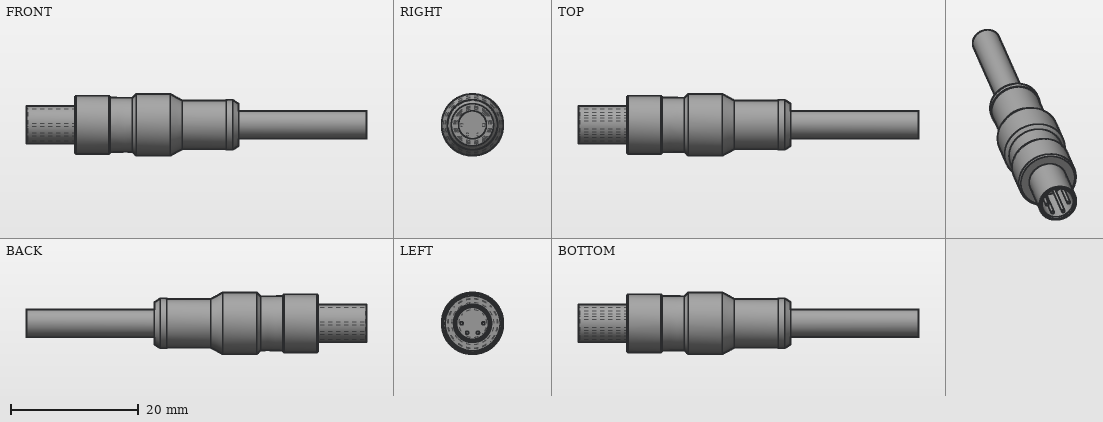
import cadquery as cq
import math

total_length = 53.4
nose_end = 7.6
collar_end = 13.2
grip_start = 16.65
grip_end = 22.6
cone_end = 24.45
lip_start = 31.4
lip_bevel_start = 32.35
lip_end = 33.3

nose_radius = 3.0
collar_radius = 4.6
neck_radius = 4.25
grip_radius = 4.85
sleeve_radius = 3.85
lip_radius = 3.95
lip_end_radius = 3.3
cable_radius = 2.2

nose_bevel = 0.1
mouth_bevel = 0.2
collar_bevel = 0.25
grip_bevel = grip_radius - neck_radius

socket_radius = 2.5
socket_depth = nose_end
pin_radius = 0.24
pin_circle_radius = 1.7
pin_angles = (0, 180, 240, 300)


def make_body():
    """Revolve the stepped plug, sleeve and cable about the X axis."""
    profile = [
        (0, 0),
        (0, nose_radius - nose_bevel),
        (nose_bevel, nose_radius),
        (nose_end, nose_radius),
        (nose_end, collar_radius - collar_bevel),
        (nose_end + collar_bevel, collar_radius),
        (collar_end - collar_bevel, collar_radius),
        (collar_end, collar_radius - collar_bevel),
        (grip_start, neck_radius),
        (grip_start + grip_bevel, grip_radius),
        (grip_end, grip_radius),
        (cone_end, sleeve_radius),
        (lip_start, sleeve_radius),
        (lip_start, lip_radius),
        (lip_bevel_start, lip_radius),
        (lip_end, lip_end_radius),
        (lip_end, cable_radius),
        (total_length, cable_radius),
        (total_length, 0),
    ]
    return cq.Workplane("XY").polyline(profile).close().revolve(360, (0, 0), (1, 0))


def cut_socket(body):
    """Hollow the nose from its open end and bevel the mouth."""
    socket = cq.Workplane("YZ").circle(socket_radius).extrude(socket_depth)
    mouth = (
        cq.Workplane("XY")
        .polyline([(0, 0), (0, socket_radius + mouth_bevel), (mouth_bevel, socket_radius), (mouth_bevel, 0)])
        .close()
        .revolve(360, (0, 0), (1, 0))
    )
    return body.cut(socket).cut(mouth)


def add_pins(body):
    """Stand the contact pins on the socket floor, flush with the nose rim."""
    pin_places = [
        (
            pin_circle_radius * math.cos(math.radians(angle)),
            pin_circle_radius * math.sin(math.radians(angle)),
        )
        for angle in pin_angles
    ]
    root_depth = 2 * pin_radius
    pins = (
        cq.Workplane("YZ")
        .pushPoints(pin_places)
        .circle(pin_radius)
        .extrude(socket_depth + root_depth)
    )
    return body.union(pins)


result = add_pins(cut_socket(make_body()))